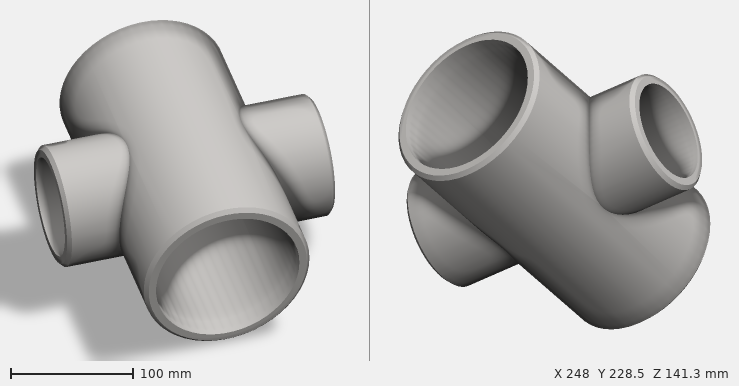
import cadquery as cq

main_length = 248.0
main_diameter = 141.3
main_bore = 122.2

branch_span = 228.5
branch_diameter = 101.6
branch_bore = 82.5

end_bevel = 3.2


def centred_cylinder(plane, diameter, length):
    """Cylinder centred on the origin, along the normal of the plane."""
    return cq.Workplane(plane).circle(diameter / 2).extrude(length / 2, both=True)


def bevelled_bar(plane, diameter, length):
    """Centred cylinder with both end edges bevelled."""
    bar = centred_cylinder(plane, diameter, length)
    return bar.faces("%PLANE").edges().chamfer(end_bevel)


main_body = bevelled_bar("YZ", main_diameter, main_length)
branch_body = bevelled_bar("XZ", branch_diameter, branch_span)
body = main_body.union(branch_body)

body = body.cut(centred_cylinder("YZ", main_bore, main_length))
result = body.cut(centred_cylinder("XZ", branch_bore, branch_span))